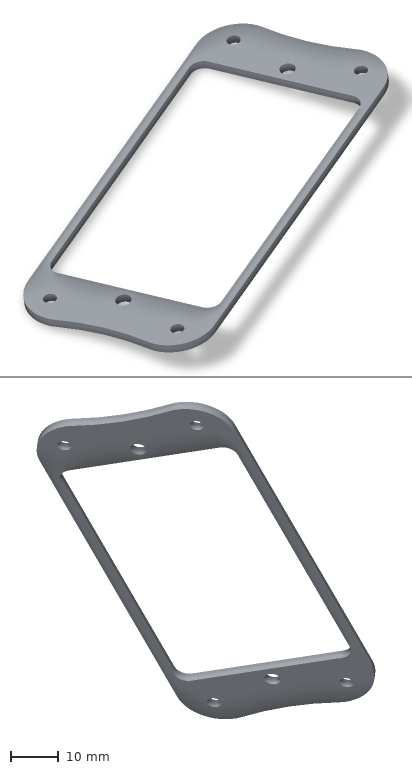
import cadquery as cq
import math

length = 98.9
width = 44.0
thickness = 2.0
tilt = 7.5

corner_radius = 9.5
crest_radius = 6.9
waist_radius = 59.4

window_length = 71.2
window_width = 40.1
window_corner_radius = 3.0

corner_hole_diameter = 3.0
corner_hole_span_x = 30.1
corner_hole_span_y = 87.1
center_hole_diameter = 3.5
center_hole_span_y = 77.9


def plate():
    """Rounded plate whose two ends curve inward between the corners."""
    half_width = width / 2
    half_length = length / 2
    crest_x = half_width - corner_radius
    shoulder_y = half_length - corner_radius

    blend_angle = math.asin(crest_x / (crest_radius + waist_radius))
    blend_x = waist_radius * math.sin(blend_angle)
    crest_center_y = half_length - crest_radius
    blend_y = crest_center_y + crest_radius * math.cos(blend_angle)
    waist_y = blend_y - waist_radius * (1 - math.cos(blend_angle))

    outline = cq.Workplane("XY").moveTo(-half_width, -shoulder_y)
    outline = outline.lineTo(-half_width, shoulder_y)
    for end, start_side in ((1, -1), (-1, 1)):
        outline = (
            outline.tangentArcPoint((start_side * crest_x, end * half_length), relative=False)
            .tangentArcPoint((start_side * blend_x, end * blend_y), relative=False)
            .threePointArc((0, end * waist_y), (-start_side * blend_x, end * blend_y))
            .tangentArcPoint((-start_side * crest_x, end * half_length), relative=False)
            .tangentArcPoint((-start_side * half_width, end * shoulder_y), relative=False)
            .lineTo(-start_side * half_width, -end * shoulder_y)
        )
    return outline.close().extrude(thickness / 2, both=True)


def window():
    """Rounded rectangular opening through the plate."""
    block = cq.Workplane("XY").box(window_width, window_length, 2 * thickness)
    return block.edges("|Z").fillet(window_corner_radius)


def holes():
    """Four corner holes and one centered hole at each end."""
    corner_holes = (
        cq.Workplane("XY")
        .rarray(corner_hole_span_x, corner_hole_span_y, 2, 2)
        .circle(corner_hole_diameter / 2)
        .extrude(thickness, both=True)
    )
    center_holes = (
        cq.Workplane("XY")
        .rarray(1, center_hole_span_y, 1, 2)
        .circle(center_hole_diameter / 2)
        .extrude(thickness, both=True)
    )
    return corner_holes.union(center_holes)


flat_frame = plate().cut(window()).cut(holes())
result = flat_frame.rotate((0, 0, 0), (0, 1, 0), -tilt)